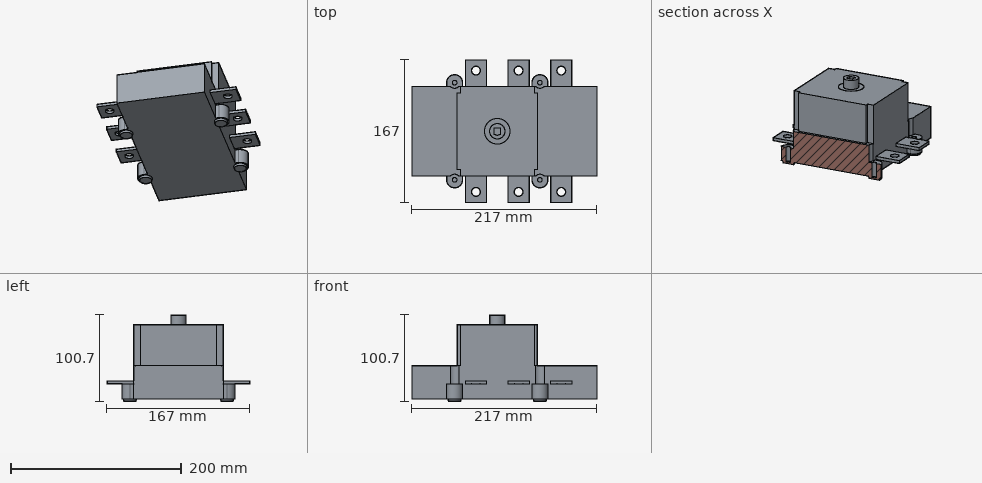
import cadquery as cq


base_length = 217.0
base_left_reach = 100.0
base_width = 105.2
base_height = 39.3

tower_length = 94.0
tower_height = 87.2
notch_length = 3.7
notch_width = 8.0

seat_diameter = 30.0
seat_depth = 0.2
shaft_diameter = 18.0
shaft_height = 11.0
socket_side = 7.2
socket_depth = shaft_height
key_width = 4.8
key_reach = 4.8

terminal_span = 167.0
terminal_width = 25.0
terminal_thickness = 3.7
terminal_bottom = 17.8
terminal_hole_diameter = 10.0
terminal_hole_inset = 12.5
pole_pitch = 50.0
pole_positions = [pole_pitch * step for step in (-0.5, 0.5, 1.5)]

lug_diameter = 18.9
lug_height = 18.0
lug_hole_diameter = 5.5
groove_diameter = 13.2
foot_diameter = 15.6
foot_draft_angle = 15.0
foot_height = 2.5
lug_offset_x = 50.0
lug_offset_y = 56.9
lug_centers = [(sx * lug_offset_x, sy * lug_offset_y) for sx in (-1, 1) for sy in (-1, 1)]


def upright_cylinder(diameter, bottom, height, center=(0, 0)):
    return cq.Workplane("XY", origin=(*center, bottom)).circle(diameter / 2).extrude(height)


def make_housing():
    base_center_x = base_length / 2 - base_left_reach
    base = cq.Workplane("XY").center(base_center_x, 0).rect(base_length, base_width).extrude(base_height)
    tower = cq.Workplane("XY").rect(tower_length, base_width).extrude(tower_height)
    notches = (
        cq.Workplane("XY", origin=(0, 0, base_height))
        .rect(tower_length, base_width, forConstruction=True)
        .vertices()
        .rect(2 * notch_length, 2 * notch_width)
        .extrude(tower_height - base_height)
    )
    return base.union(tower.cut(notches))


def make_terminal(x):
    hole_y = terminal_span / 2 - terminal_hole_inset
    bar = cq.Workplane("XY", origin=(x, 0, terminal_bottom)).rect(terminal_width, terminal_span)
    bar = bar.extrude(terminal_thickness)
    return bar.faces(">Z").workplane().pushPoints([(0, -hole_y), (0, hole_y)]).hole(terminal_hole_diameter)


def add_lug(body, center):
    """Cut the driver groove, then add the round-ended lug and its foot."""
    x, y = center
    groove = upright_cylinder(groove_diameter, lug_height, base_height - lug_height, center)
    web = cq.Workplane("XY").center(x, y / 2).rect(lug_diameter, abs(y)).extrude(lug_height)
    lug = upright_cylinder(lug_diameter, 0, lug_height, center).union(web)
    hole = upright_cylinder(lug_hole_diameter, 0, lug_height, center)
    foot = cq.Workplane("XY").center(x, y).circle(foot_diameter / 2)
    foot = foot.extrude(-foot_height, taper=foot_draft_angle)
    return body.cut(groove).union(lug).cut(hole).union(foot)


def make_socket():
    half_side = socket_side / 2
    half_key = key_width / 2
    return (
        cq.Workplane("XY", origin=(0, 0, tower_height + shaft_height))
        .moveTo(-half_key, -half_side)
        .threePointArc((0, -key_reach), (half_key, -half_side))
        .lineTo(half_side, -half_side)
        .lineTo(half_side, half_side)
        .lineTo(-half_side, half_side)
        .lineTo(-half_side, -half_side)
        .close()
        .extrude(-socket_depth)
    )


result = make_housing()
for lug_center in lug_centers:
    result = add_lug(result, lug_center)
for pole_x in pole_positions:
    result = result.union(make_terminal(pole_x))
seat_floor = tower_height - seat_depth
result = result.cut(upright_cylinder(seat_diameter, seat_floor, seat_depth))
result = result.union(upright_cylinder(shaft_diameter, seat_floor, seat_depth + shaft_height))
result = result.cut(make_socket())